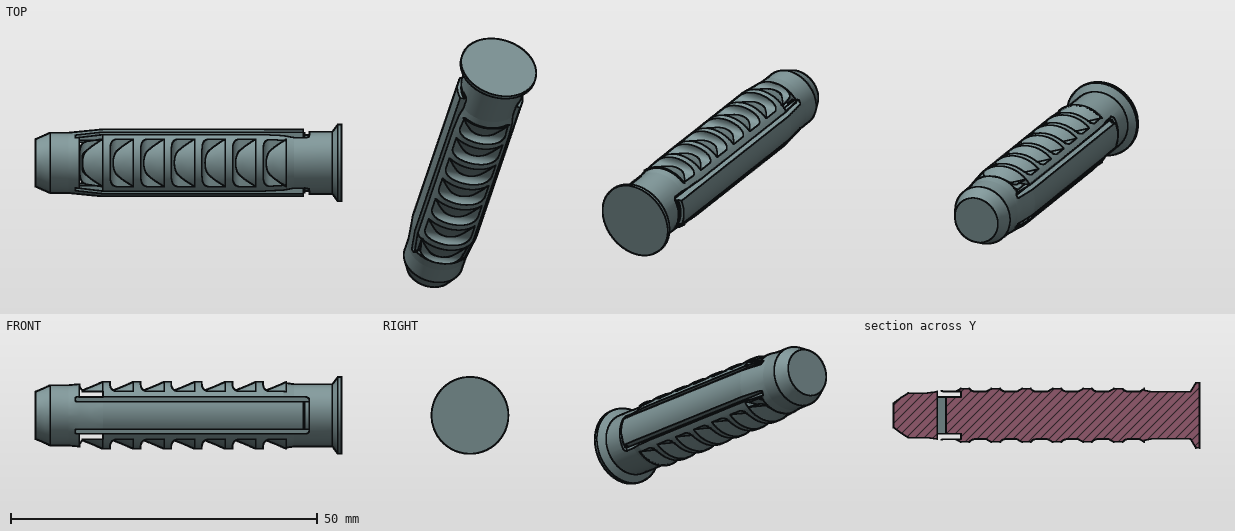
import cadquery as cq
import math

LENGTH = 50.0
NOSE_TIP_RADIUS = 3.87
NOSE_RADIUS = 4.95
NOSE_CHAMFER_END = 2.42
BODY_RADIUS = 5.5
BODY_START = 11.0
FRONT_TAPER_START = 5.44

SHANK_RADIUS = 5.1
SHANK_START = 42.25
REAR_TAPER_KNEE = 40.5
REAR_KNEE_RADIUS = 5.36
RIM_RADIUS = 6.3
RIM_CONE_START = 48.5
RIM_START = 49.4

TOOTH_COUNT = 7
TOOTH_PITCH = 5.0
POCKET_LENGTH = 3.8
POCKET_FLOOR = 3.9
POCKET_FILLET = 1.15
TOOTH_CONE_LENGTH = 3.32
TOOTH_ROOT_RADIUS = 4.1
FIRST_POCKET_START = BODY_START - POCKET_LENGTH
REAR_TAPER_START = FIRST_POCKET_START + (TOOTH_COUNT - 1) * TOOTH_PITCH

SLOT_START = 6.5
SLOT_END = 44.75
SLOT_OUTER_Z = 3.0
SLOT_FLOOR_Y = 3.7
STRIP_HALF_HEIGHT = 2.24
SLOT_FRONT_FILLET = 0.25
SLOT_REAR_FILLET = 0.6
STRIP_END = 43.75
STRIP_LEDGE_END = 44.0
STRIP_LEDGE_RADIUS = 4.9
STRIP_RELIEF_RADIUS = 4.6

SKIN = 0.02
OPENING_START = FIRST_POCKET_START - SKIN
OPENING_FLOOR = SLOT_OUTER_Z + SKIN
CENTER_OPENING_END = 8.55
CENTER_OPENING_HALF_WIDTH = 3.33

REACH = 8.0


def revolve_about_x(profile, plane="XY"):
    """Solid of revolution about X from its outer (x, radius) points, drawn on a plane through X."""
    first_x = profile[0][0]
    last_x = profile[-1][0]
    outline = [(first_x, 0), *profile, (last_x, 0)]
    return cq.Workplane(plane).polyline(outline).close().revolve(360, (0, 0), (1, 0))


def box_between(x_range, y_range, z_range):
    """Axis-aligned box between the given limits."""
    spans = [high - low for low, high in (x_range, y_range, z_range)]
    corner = (x_range[0], y_range[0], z_range[0])
    return cq.Workplane("XY").box(*spans, centered=False).translate(corner)


def mirrored_copy(solid):
    """The same solid on the lower side."""
    return solid.mirror("XY")


def make_turned_body():
    """Nose, tapered body, shank and flared rim, before any cuts."""
    return revolve_about_x([
        (0, NOSE_TIP_RADIUS),
        (NOSE_CHAMFER_END, NOSE_RADIUS),
        (FRONT_TAPER_START, NOSE_RADIUS),
        (BODY_START, BODY_RADIUS),
        (REAR_TAPER_START, BODY_RADIUS),
        (REAR_TAPER_KNEE, REAR_KNEE_RADIUS),
        (SHANK_START, SHANK_RADIUS),
        (RIM_CONE_START, SHANK_RADIUS),
        (RIM_START, RIM_RADIUS),
        (LENGTH, RIM_RADIUS),
    ])


def make_strip_band():
    """Slab holding the rear part of both strips and the relief behind them."""
    return box_between(
        (REAR_TAPER_START, SLOT_END),
        (-REACH, REACH),
        (-STRIP_HALF_HEIGHT, STRIP_HALF_HEIGHT),
    )


def make_strip_bar():
    """Bar that keeps the strips at full radius, then steps down into the relief."""
    return revolve_about_x([
        (REAR_TAPER_START, BODY_RADIUS),
        (STRIP_END, BODY_RADIUS),
        (STRIP_END, STRIP_LEDGE_RADIUS),
        (STRIP_LEDGE_END, STRIP_LEDGE_RADIUS),
        (STRIP_LEDGE_END, STRIP_RELIEF_RADIUS),
        (SLOT_END, STRIP_RELIEF_RADIUS),
    ])


def make_slot():
    """Tool for the upper slot on the +Y side, with rounded ends."""
    slot = box_between(
        (SLOT_START, SLOT_END),
        (SLOT_FLOOR_Y, REACH),
        (STRIP_HALF_HEIGHT, SLOT_OUTER_Z),
    )
    slot = slot.faces("<X").edges("|Y").fillet(SLOT_FRONT_FILLET)
    return slot.faces(">X").edges(">Z").fillet(SLOT_REAR_FILLET)


def add_root_fillet(outline, pocket_start, radius):
    """Continue an XZ outline with a quarter arc about the pocket's root fillet center."""
    center_x = pocket_start + POCKET_FILLET
    center_z = POCKET_FLOOR + POCKET_FILLET
    diagonal = radius * math.sqrt(0.5)
    return outline.lineTo(center_x - radius, center_z).threePointArc(
        (center_x - diagonal, center_z - diagonal),
        (center_x, center_z - radius),
    )


def make_pocket(start):
    """Tool for one upper tooth gap: upright wall, root fillet and flat floor."""
    wall = cq.Workplane("XZ").moveTo(start, REACH)
    return (
        add_root_fillet(wall, start, POCKET_FILLET)
        .lineTo(start + POCKET_LENGTH, POCKET_FLOOR)
        .lineTo(start + POCKET_LENGTH, REACH)
        .close()
        .extrude(REACH, both=True)
    )


def make_tooth(peak):
    """Upper conical ramp that rises from a pocket floor to the body radius."""
    cone = revolve_about_x([
        (peak - TOOTH_CONE_LENGTH, TOOTH_ROOT_RADIUS),
        (peak, BODY_RADIUS),
    ], plane="XZ")
    above_floor = box_between((0, LENGTH), (-REACH, REACH), (POCKET_FLOOR - SKIN, REACH))
    return cone.intersect(above_floor)


def make_side_opening():
    """Tool for the upper cross opening, leaving a thin skin under the first pocket."""
    wall = cq.Workplane("XZ").moveTo(OPENING_START, OPENING_FLOOR)
    return (
        add_root_fillet(wall, FIRST_POCKET_START, POCKET_FILLET + SKIN)
        .lineTo(BODY_START, POCKET_FLOOR - SKIN)
        .lineTo(BODY_START, OPENING_FLOOR)
        .close()
        .extrude(REACH, both=True)
    )


def make_center_opening():
    """Tool that joins the upper and lower cross openings between the strips."""
    return box_between(
        (OPENING_START, CENTER_OPENING_END),
        (-CENTER_OPENING_HALF_WIDTH, CENTER_OPENING_HALF_WIDTH),
        (-OPENING_FLOOR, OPENING_FLOOR),
    )


plug = make_turned_body()

strip_band = make_strip_band()
plug = plug.cut(strip_band).union(make_strip_bar().intersect(strip_band))

slot = make_slot()
for side_slot in (slot, slot.mirror("XZ")):
    plug = plug.cut(side_slot).cut(mirrored_copy(side_slot))

side_opening = make_side_opening()
plug = plug.cut(side_opening).cut(mirrored_copy(side_opening))
plug = plug.cut(make_center_opening())

for index in range(TOOTH_COUNT):
    pocket_start = FIRST_POCKET_START + index * TOOTH_PITCH
    pocket = make_pocket(pocket_start)
    tooth = make_tooth(pocket_start + POCKET_LENGTH)
    plug = plug.cut(pocket).cut(mirrored_copy(pocket))
    plug = plug.union(tooth).union(mirrored_copy(tooth))

result = plug